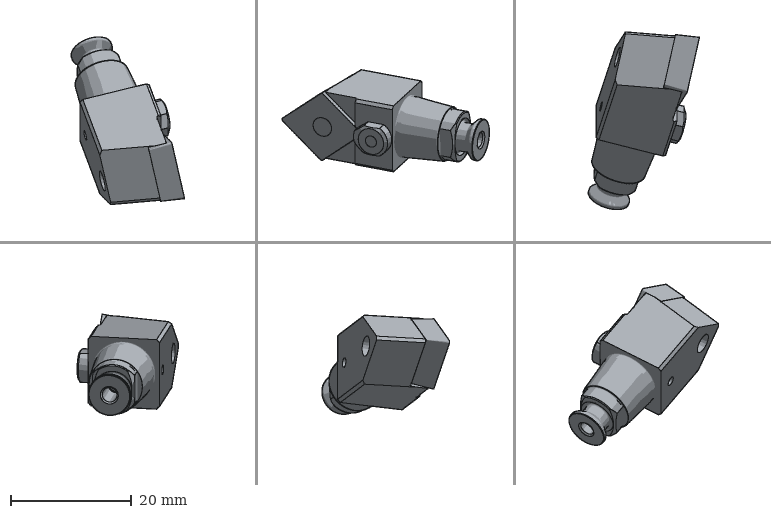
import cadquery as cq
import math


block_width = 12.0
half_width = block_width / 2
edge_chamfer = 0.5
nose_half_angle = 40
clearance_angle = 7
nose_tip_x = 17.47
nose_flat_half = 0.35
relief_x = 6.78
relief_depth = 0.85
relief_radius = 0.4

seat_length = 1.0
seat_radius = 5.1
seat_fillet = 0.2
taper_end_x = -7.48
taper_end_radius = 4.6
taper_end_fillet = 0.1
coolant_radius = 1.05

stud_face_x = -13.4
stud_head_radius = 3.5
stud_head_chamfer = 0.1
stud_rim_length = 0.67
stud_rim_fillet = 0.35
stud_neck_radius = 2.4
stud_neck_fillet = 0.17
stud_bore_radius = 1.25
stud_bore_chamfer = 0.27
neck_groove_radius = 0.37
collar_face_x = -10.1
collar_radius = 4.28
collar_fillet = 0.2
collar_chamfer = 0.17
flange_thickness = 0.1
flat_half_width = 3.5
bevel_axis_offset = 4.0
bevel_inset = 0.27

overall_length = 33.4
inscribed_diameter = 9.52
insert_thickness = 3.95
corner_radius = 0.4
bottom_corner_radius = 0.05
pocket_gap = 0.05

insert_screw_offset = 0.15
insert_screw_radius = 1.67
insert_screw_end_y = -2.0
insert_screw_chamfer = 0.15

clamp_x = 2.97
clamp_thickness = 2.0
clamp_radius = 2.87
clamp_half_width = 2.5
clamp_flat_half_length = math.sqrt(clamp_radius**2 - clamp_half_width**2)
clamp_tip_radius = 3.47
clamp_tip_half_width = 1.1
clamp_tip_length = math.sqrt(clamp_tip_radius**2 - clamp_tip_half_width**2)
clamp_top_radius = 2.3
clamp_bevel_angle = 31
clamp_screw_radius = 1.0
clamp_screw_end_y = -1.3
clamp_screw_chamfer = 0.27
outlet_radius = 0.77

half_angle = math.radians(nose_half_angle)
flank_tangent = math.tan(math.radians(clearance_angle))
corner_reach = (inscribed_diameter / 2 - corner_radius) / math.sin(half_angle) + corner_radius
insert_x = stud_face_x + overall_length - corner_reach
insert_screw_x = insert_x - insert_screw_offset
pocket_floor_y = half_width - insert_thickness


def cylinder_y(x, radius, y_start, y_end):
    """Cylinder along +Y from y_start to y_end, centred at (x, 0)."""
    return cq.Workplane("XZ", origin=(x, y_start, 0)).circle(radius).extrude(-(y_end - y_start))


def turned_x(profile):
    """Solid turned about the X axis from a closed (x, radius) profile."""
    return profile.close().revolve(360, (0, 0, 0), (1, 0, 0))


def nose_outline(y):
    """Pointed outline of the block at height y; its nose moves forward toward +Y."""
    tip_x = nose_tip_x + (y + half_width) * flank_tangent / math.sin(half_angle)
    corner_x = tip_x - (half_width - nose_flat_half) / math.tan(half_angle)
    return cq.Workplane("XZ", origin=(0, y, 0)).polyline([
        (0, -half_width), (corner_x, -half_width), (tip_x, -nose_flat_half),
        (tip_x, nose_flat_half), (corner_x, half_width), (0, half_width),
    ]).close().wires().val()


def make_block():
    pointed = cq.Solid.makeLoft([nose_outline(-half_width), nose_outline(half_width)], True)
    bar_length = 2 * nose_tip_x
    bar = (
        cq.Workplane("YZ").rect(block_width, block_width).extrude(bar_length)
        .edges("|X").chamfer(edge_chamfer)
    )
    relief = (
        cq.Workplane("XY", origin=(relief_x, half_width - relief_depth, -half_width))
        .rect(bar_length, block_width, centered=False).extrude(block_width)
        .edges("|Z and <X and <Y").fillet(relief_radius)
    )
    return bar.intersect(cq.Workplane(pointed)).cut(relief)


def make_shank():
    return turned_x(
        cq.Workplane("XY")
        .moveTo(taper_end_x, 0)
        .lineTo(taper_end_x, taper_end_radius - taper_end_fillet)
        .radiusArc((taper_end_x + taper_end_fillet, taper_end_radius), taper_end_fillet)
        .lineTo(-seat_length, seat_radius)
        .lineTo(-seat_fillet, seat_radius)
        .radiusArc((0, seat_radius + seat_fillet), -seat_fillet)
        .lineTo(0, 0)
    )


def make_holder():
    holder = make_block().union(make_shank())

    coolant_bore = (
        cq.Workplane("YZ", origin=(taper_end_x, 0, 0)).circle(coolant_radius)
        .extrude(clamp_x - taper_end_x)
    )
    pocket_rear_x = insert_x - (inscribed_diameter / 2 + pocket_gap) / math.sin(half_angle)
    pocket_reach = overall_length
    pocket_half_width = pocket_reach * math.tan(half_angle)
    pocket = (
        cq.Workplane("XZ", origin=(0, pocket_floor_y, 0))
        .polyline([
            (pocket_rear_x, 0),
            (pocket_rear_x + pocket_reach, pocket_half_width),
            (pocket_rear_x + pocket_reach, -pocket_half_width),
        ]).close().extrude(-2 * insert_thickness)
    )
    return (
        holder.cut(coolant_bore).cut(pocket)
        .cut(cylinder_y(insert_screw_x, insert_screw_radius, -half_width, half_width))
        .cut(make_clamp_screw())
        .cut(cylinder_y(clamp_x, outlet_radius, -half_width, clamp_screw_end_y))
    )


def bevel_cone(side):
    """Cone that widens from the collar face toward +X and bevels the flat on one side."""
    length = taper_end_x - stud_face_x
    radius = flat_half_width - bevel_inset + bevel_axis_offset
    head_end_radius = radius - (collar_face_x - stud_face_x)
    return turned_x(
        cq.Workplane("XY").moveTo(stud_face_x, 0).lineTo(stud_face_x, head_end_radius)
        .lineTo(taper_end_x, head_end_radius + length).lineTo(taper_end_x, 0)
    ).translate((0, -side * bevel_axis_offset, 0))


def flat_cutter(side):
    """Box that cuts one wrench flat and rounds it into the flange."""
    length = taper_end_x - flange_thickness - collar_face_x
    size = 2 * collar_radius
    return (
        cq.Workplane("XY")
        .box(length, size, size)
        .edges(f"|Z and >X and {'<' if side > 0 else '>'}Y").fillet(collar_fillet)
        .translate((collar_face_x + length / 2, side * (flat_half_width + collar_radius), 0))
    )


def round_ring(turned, x, radius):
    """Fillet the circular edge of a turned solid that lies at x."""
    ring = cq.selectors.BoxSelector(
        (x - radius, -collar_radius, -collar_radius),
        (x + radius, collar_radius, collar_radius), boundingbox=True,
    )
    return turned.edges(ring).fillet(radius)


def make_stud_head():
    rim_end_x = stud_face_x + stud_rim_length
    cone_end_x = rim_end_x + stud_head_radius - stud_neck_radius
    profile = (
        cq.Workplane("XY")
        .moveTo(stud_face_x, 0)
        .lineTo(stud_face_x, stud_head_radius)
        .lineTo(rim_end_x, stud_head_radius)
        .lineTo(cone_end_x, stud_neck_radius)
        .lineTo(taper_end_x, stud_neck_radius)
        .lineTo(taper_end_x, 0)
    )
    head = turned_x(profile).faces("<X").chamfer(stud_head_chamfer)
    head = round_ring(head, rim_end_x, stud_rim_fillet)
    return round_ring(head, cone_end_x, stud_neck_fillet)


def make_collar():
    flange_x = taper_end_x - flange_thickness
    collar = turned_x(
        cq.Workplane("XY")
        .moveTo(collar_face_x, 0)
        .lineTo(collar_face_x, collar_radius - collar_chamfer)
        .lineTo(collar_face_x + collar_chamfer, collar_radius)
        .lineTo(flange_x - collar_fillet, collar_radius)
        .radiusArc((flange_x, collar_radius + collar_fillet), -collar_fillet)
        .lineTo(taper_end_x, collar_radius + collar_fillet)
        .lineTo(taper_end_x, 0)
    )
    for side in (-1, 1):
        collar = collar.cut(flat_cutter(side)).intersect(bevel_cone(side))

    groove_centre_radius = stud_neck_radius + neck_groove_radius
    groove = cq.Workplane(cq.Solid.makeTorus(
        groove_centre_radius, neck_groove_radius,
        cq.Vector(collar_face_x, 0, 0), cq.Vector(1, 0, 0),
    ))
    return collar.cut(groove)


def make_stud():
    bore = turned_x(
        cq.Workplane("XY")
        .moveTo(stud_face_x, 0)
        .lineTo(stud_face_x, stud_bore_radius + stud_bore_chamfer)
        .lineTo(stud_face_x + stud_bore_chamfer, stud_bore_radius)
        .lineTo(taper_end_x, stud_bore_radius)
        .lineTo(taper_end_x, 0)
    )
    return make_stud_head().union(make_collar()).cut(bore)


def insert_outline(y, inscribed_radius, radius):
    """Rhombus with rounded corners at height y."""
    half_length = inscribed_radius / math.sin(half_angle)
    half_height = inscribed_radius / math.cos(half_angle)
    wire = cq.Workplane("XZ", origin=(insert_x, y, 0)).polyline(
        [(half_length, 0), (0, half_height), (-half_length, 0), (0, -half_height)]
    ).close().wires().val()
    return wire.fillet2D(radius, wire.Vertices())


def make_insert():
    top_radius = inscribed_diameter / 2
    bottom_radius = top_radius - insert_thickness * flank_tangent
    body = cq.Solid.makeLoft([
        insert_outline(pocket_floor_y, bottom_radius, bottom_corner_radius),
        insert_outline(half_width, top_radius, corner_radius),
    ], True)
    return cq.Workplane(body).cut(
        cylinder_y(insert_screw_x, insert_screw_radius, pocket_floor_y, half_width)
    )


def make_insert_screw():
    screw = cylinder_y(insert_screw_x, insert_screw_radius, insert_screw_end_y, half_width)
    return screw.faces("<Y").chamfer(insert_screw_chamfer)


def make_clamp_screw():
    screw = cylinder_y(clamp_x, clamp_screw_radius, clamp_screw_end_y, half_width + clamp_thickness)
    return screw.faces("<Y").chamfer(clamp_screw_chamfer)


def make_clamp():
    outline = (
        cq.Workplane("XZ", origin=(clamp_x, half_width, 0))
        .moveTo(-clamp_flat_half_length, -clamp_half_width)
        .lineTo(clamp_flat_half_length, -clamp_half_width)
        .lineTo(clamp_tip_length, -clamp_tip_half_width)
        .threePointArc((clamp_tip_radius, 0), (clamp_tip_length, clamp_tip_half_width))
        .lineTo(clamp_flat_half_length, clamp_half_width)
        .lineTo(-clamp_flat_half_length, clamp_half_width)
        .threePointArc((-clamp_radius, 0), (-clamp_flat_half_length, -clamp_half_width))
        .close().extrude(-clamp_thickness)
    )
    bevel_reach = clamp_thickness / math.tan(math.radians(clamp_bevel_angle))
    bevel = cq.Solid.makeCone(
        clamp_top_radius + bevel_reach, clamp_top_radius, clamp_thickness,
        pnt=cq.Vector(clamp_x, half_width, 0), dir=cq.Vector(0, 1, 0),
    )
    return outline.intersect(cq.Workplane(bevel)).cut(make_clamp_screw())


holder = make_holder()
stud = make_stud()
insert = make_insert()
insert_screw = make_insert_screw()
clamp = make_clamp()
clamp_screw = make_clamp_screw()

result = cq.Compound.makeCompound([
    holder.val(), stud.val(), insert.val(), insert_screw.val(), clamp.val(), clamp_screw.val(),
])